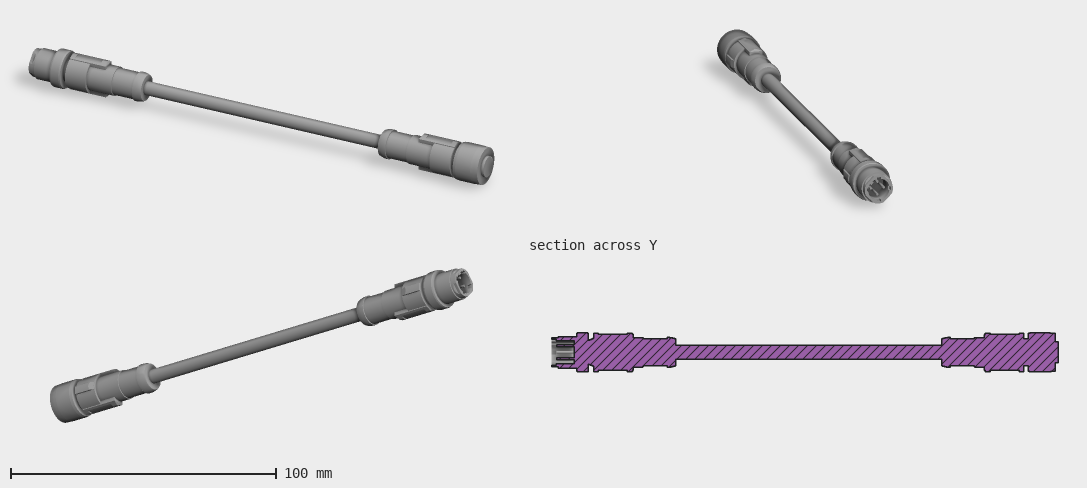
import cadquery as cq

LENGTH = 190.8
CABLE_R = 2.7

LEFT_GRIP_X = 15.8
RIGHT_GRIP_X = 177.8
BODY_R = 6.7
BODY_END = 8.5
TAIL_R = 5.63
TAIL_END = 18.9
SLEEVE_R = 5.25
SLEEVE_END = 27.7
BEAD_R = 5.7
BEAD_MIDDLE = 29.5
BEAD_MIDDLE_R = 5.59
GRIP_END = 31.1
GRIP_END_R = 5.05

PAD_HALF_WIDTH = 2.58
PAD_EAVES = 6.5
PAD_CREST = 7.35
PAD_CREST_HALF_WIDTH = 0.29
PAD_CREST_END = 14.5
PAD_END = 15.0
WINDOW_START = 2.0
WINDOW_END = 12.5
WINDOW_FLOOR = 6.9

MARKER_R = 7.35
MARKER_HALF_WIDTH = 1.5
MARKER_FLAT_END = 6.3
MARKER_END = 8.4

NUT_R = 7.5
NUT_RIM_R = 7.3

TIP_R = 5.5
NOSE_X = 2.5
NOSE_R = 6.01
LEFT_NUT_X = 9.5
LEFT_NUT_END = 14.0
LEFT_RIM_WIDTH = 0.5
LEFT_NECK_FRONT_R = 4.5
LEFT_NECK_REAR_R = 5.3

FLAT_DISTANCE = 5.05
FLAT_LENGTH = 1.1
CAVITY_R = 4.2
CAVITY_DEPTH = 8.5
NOTCH_WIDTH = 1.5
NOTCH_REACH = 4.8
NOTCH_DEPTH = 1.7
KEY_WIDTH = 1.3
KEY_REACH = 3.5
PIN_R = 0.48
PIN_CIRCLE_R = 2.5
PIN_START = 2.0

RIGHT_NECK_R = 5.2
RIGHT_NUT_X = 179.4
RIGHT_NUT_END = 189.7
RIGHT_RIM_START = 180.5
RIGHT_RIM_END = 186.8
RIGHT_NOSE_R = 4.1
KEYWAY_WIDTH = 1.0
KEYWAY_DEPTH = 0.5

QUARTER_TURN = 90
KEY_ANGLE = 45


def cylinder(x_start, x_end, radius):
    return cq.Workplane("YZ").workplane(offset=x_start).circle(radius).extrude(x_end - x_start)


def box(x_start, x_end, y_start, y_end, z_start, z_end):
    size = (x_end - x_start, y_end - y_start, z_end - z_start)
    return cq.Workplane("XY").box(*size, centered=False).translate((x_start, y_start, z_start))


def turned(solid, angle):
    """Turn a solid about the X axis; positive angles carry +Y toward +Z."""
    return solid.rotate((0, 0, 0), (1, 0, 0), angle)


def revolved(points):
    """Revolve a profile of (x, radius) points, closed along the axis, about the X axis."""
    profile = [(points[0][0], 0)] + points + [(points[-1][0], 0)]
    return cq.Workplane("XY").polyline(profile).close().revolve(360, (0, 0, 0), (1, 0, 0))


def grip_body():
    """Stepped sleeve ending in a bead that rounds down toward the cable."""
    sleeve = revolved([
        (0, BODY_R),
        (BODY_END, BODY_R),
        (BODY_END, TAIL_R),
        (TAIL_END, TAIL_R),
        (TAIL_END, SLEEVE_R),
        (SLEEVE_END, SLEEVE_R),
    ])
    bead = (
        cq.Workplane("XY")
        .moveTo(SLEEVE_END, 0)
        .lineTo(SLEEVE_END, BEAD_R)
        .threePointArc((BEAD_MIDDLE, BEAD_MIDDLE_R), (GRIP_END, GRIP_END_R))
        .lineTo(GRIP_END, 0)
        .close()
        .revolve(360, (0, 0, 0), (1, 0, 0))
    )
    return sleeve.union(bead)


def latch_pad():
    """Roof-shaped pad on the +Z side, sloped at its rear end, with a flat window in its crest."""
    roof = [
        (-PAD_HALF_WIDTH, 0),
        (-PAD_HALF_WIDTH, PAD_EAVES),
        (-PAD_CREST_HALF_WIDTH, PAD_CREST),
        (PAD_CREST_HALF_WIDTH, PAD_CREST),
        (PAD_HALF_WIDTH, PAD_EAVES),
        (PAD_HALF_WIDTH, 0),
    ]
    side = [
        (0, 0),
        (0, PAD_CREST),
        (WINDOW_START, PAD_CREST),
        (WINDOW_START, WINDOW_FLOOR),
        (WINDOW_END, WINDOW_FLOOR),
        (WINDOW_END, PAD_CREST),
        (PAD_CREST_END, PAD_CREST),
        (PAD_END, PAD_EAVES),
        (PAD_END, 0),
    ]
    prism = cq.Workplane("YZ").polyline(roof).close().extrude(PAD_END)
    cutter = cq.Workplane("XZ").polyline(side).close().extrude(PAD_HALF_WIDTH, both=True)
    return prism.intersect(cutter)


def marker():
    """Wedge on the +Y side whose top slopes down to the body."""
    outline = [(0, 0), (0, MARKER_R), (MARKER_FLAT_END, MARKER_R), (MARKER_END, BODY_R), (MARKER_END, 0)]
    wedge = cq.Workplane("XY").polyline(outline).close().extrude(MARKER_HALF_WIDTH, both=True)
    return wedge.intersect(cylinder(0, MARKER_END, MARKER_R))


def grip():
    pad = latch_pad()
    return grip_body().union(pad).union(turned(pad, 2 * QUARTER_TURN)).union(marker())


def cable():
    return cylinder(LEFT_GRIP_X + SLEEVE_END, RIGHT_GRIP_X - SLEEVE_END, CABLE_R)


def tip_flats():
    """Four sloping flats, midway between the Y and Z axes, at the front of the left plug."""
    outline = [
        (0, FLAT_DISTANCE),
        (FLAT_LENGTH, FLAT_DISTANCE),
        (NOSE_X, NOSE_R),
        (NOSE_X, NUT_R),
        (0, NUT_R),
    ]
    flat = cq.Workplane("XY").polyline(outline).close().extrude(NUT_R, both=True)
    flats = turned(flat, KEY_ANGLE)
    for turn in range(1, 4):
        flats = flats.union(turned(flat, KEY_ANGLE + turn * QUARTER_TURN))
    return flats


def left_cavity():
    """Round socket with a key rib and four short notches in its wall."""
    key = box(0, CAVITY_DEPTH, KEY_REACH, NOSE_R, -KEY_WIDTH / 2, KEY_WIDTH / 2)
    cavity = cylinder(0, CAVITY_DEPTH, CAVITY_R).cut(turned(key, KEY_ANGLE))
    notch = box(0, NOTCH_DEPTH, PIN_CIRCLE_R, NOTCH_REACH, -NOTCH_WIDTH / 2, NOTCH_WIDTH / 2)
    for turn in range(4):
        cavity = cavity.union(turned(notch, turn * QUARTER_TURN))
    return cavity


def left_plug():
    plug = revolved([
        (0, TIP_R),
        (NOSE_X, TIP_R),
        (NOSE_X, NOSE_R),
        (LEFT_NUT_X, NOSE_R),
        (LEFT_NUT_X, NUT_RIM_R),
        (LEFT_NUT_X + LEFT_RIM_WIDTH, NUT_R),
        (LEFT_NUT_END - LEFT_RIM_WIDTH, NUT_R),
        (LEFT_NUT_END, NUT_RIM_R),
        (LEFT_NUT_END, LEFT_NECK_FRONT_R),
        (LEFT_GRIP_X, LEFT_NECK_REAR_R),
    ])
    plug = plug.cut(tip_flats()).cut(left_cavity())
    pin = cylinder(PIN_START, CAVITY_DEPTH, PIN_R).translate((0, PIN_CIRCLE_R, 0))
    for turn in range(4):
        plug = plug.union(turned(pin, turn * QUARTER_TURN))
    return plug.union(grip().translate((LEFT_GRIP_X, 0, 0)))


def right_plug():
    plug = revolved([
        (RIGHT_GRIP_X, RIGHT_NECK_R),
        (RIGHT_NUT_X, RIGHT_NECK_R),
        (RIGHT_NUT_X, NUT_RIM_R),
        (RIGHT_RIM_START, NUT_R),
        (RIGHT_RIM_END, NUT_R),
        (RIGHT_NUT_END, NUT_RIM_R),
        (RIGHT_NUT_END, RIGHT_NOSE_R),
        (LENGTH, RIGHT_NOSE_R),
    ])
    keyway = box(
        RIGHT_NUT_END, LENGTH, RIGHT_NOSE_R - KEYWAY_DEPTH, NUT_R, -KEYWAY_WIDTH / 2, KEYWAY_WIDTH / 2
    )
    plug = plug.cut(turned(keyway, KEY_ANGLE))
    return plug.union(grip().mirror("YZ").translate((RIGHT_GRIP_X, 0, 0)))


result = left_plug().union(cable()).union(right_plug())